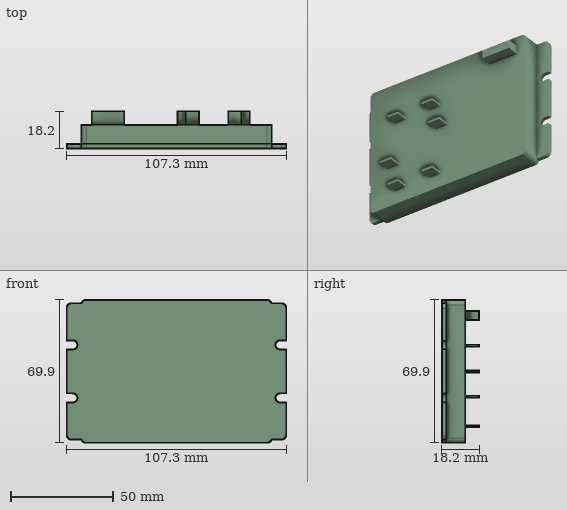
import cadquery as cq


PLATE_LENGTH = 107.3
PLATE_THICKNESS = 2.3
EAR_STEP = 1.6
CORNER_RADIUS = 2.5

SLOT_WIDTH = 4.3
SLOT_DEPTH = 5.3
SLOT_SPACING = 25.9

HOUSING_LENGTH = 93.1
HOUSING_HEIGHT = 69.9
HOUSING_DEPTH = 9.3
EAR_HEIGHT = HOUSING_HEIGHT - 2 * EAR_STEP
HOUSING_FACE_Y = PLATE_THICKNESS + HOUSING_DEPTH

TOTAL_DEPTH = 18.2
TERMINAL_HEIGHT = TOTAL_DEPTH - HOUSING_FACE_Y

CONNECTOR_LENGTH = 16.0
CONNECTOR_THICKNESS = 4.5
CONNECTOR_X = -33.4
CONNECTOR_Z = 27.3

TAB_WIDTH = 6.4
TAB_THICKNESS = 1.1
TAB_GROUPS_MIDDLE_X = 18.1
INNER_TAB_OFFSET = 10.3
OUTER_TAB_SHIFT = 4.2
OUTER_TAB_OFFSET = INNER_TAB_OFFSET + OUTER_TAB_SHIFT
UPPER_TAB_Z = 12.6
LEFT_OUTER_TAB_Z = 0.0
RIGHT_OUTER_TAB_Z = -12.3
LOWER_TAB_Z = -26.8

LEFT = -1
RIGHT = 1


def block(length, height, depth, x=0.0, z=0.0, start_y=0.0):
    """Box centred on (x, z) that reaches from start_y toward +Y."""
    return cq.Workplane("XY").box(length, depth, height).translate((x, start_y + depth / 2, z))


def rounded_block(length, height, depth, start_y=0.0):
    """Block with its four edges along Y rounded."""
    return block(length, height, depth, start_y=start_y).edges("|Y").fillet(CORNER_RADIUS)


def mounting_slot(side, z):
    """Cutter for a round-ended slot that opens through one end of the plate."""
    end_x = side * PLATE_LENGTH / 2
    return (
        cq.Workplane("XZ", origin=(end_x, 0, z))
        .slot2D(2 * SLOT_DEPTH, SLOT_WIDTH)
        .extrude(-PLATE_THICKNESS)
    )


def make_base_plate():
    """Plate under the housing, with a slotted ear at each end."""
    ears = rounded_block(PLATE_LENGTH, EAR_HEIGHT, PLATE_THICKNESS)
    middle = rounded_block(HOUSING_LENGTH, HOUSING_HEIGHT, PLATE_THICKNESS)
    plate = ears.union(middle)
    for side in (LEFT, RIGHT):
        for z in (-SLOT_SPACING / 2, SLOT_SPACING / 2):
            plate = plate.cut(mounting_slot(side, z))
    return plate


def make_housing():
    """Rounded housing on the base plate."""
    return rounded_block(HOUSING_LENGTH, HOUSING_HEIGHT, HOUSING_DEPTH, PLATE_THICKNESS)


def make_connector():
    """Connector block near the upper left corner of the housing face."""
    return block(
        CONNECTOR_LENGTH, CONNECTOR_THICKNESS, TERMINAL_HEIGHT,
        CONNECTOR_X, CONNECTOR_Z, HOUSING_FACE_Y,
    )


def make_tab(side, offset, z):
    """Flat tab at an offset to one side of the middle between the two groups."""
    x = TAB_GROUPS_MIDDLE_X + side * offset
    return block(TAB_WIDTH, TAB_THICKNESS, TERMINAL_HEIGHT, x, z, HOUSING_FACE_Y)


base_plate = make_base_plate()
housing = make_housing()
connector = make_connector()

tabs = []
for side, outer_tab_z in ((LEFT, LEFT_OUTER_TAB_Z), (RIGHT, RIGHT_OUTER_TAB_Z)):
    tabs.append(make_tab(side, INNER_TAB_OFFSET, UPPER_TAB_Z))
    tabs.append(make_tab(side, OUTER_TAB_OFFSET, outer_tab_z))
    tabs.append(make_tab(side, INNER_TAB_OFFSET, LOWER_TAB_Z))

result = cq.Compound.makeCompound(
    [base_plate.val(), housing.val(), connector.val(), *[tab.val() for tab in tabs]]
)